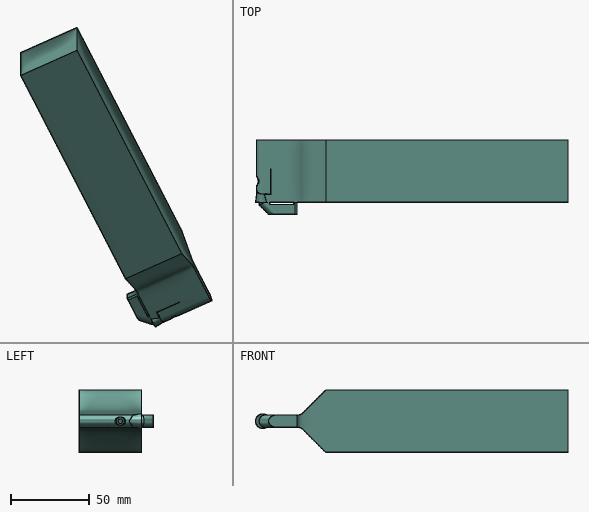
import cadquery as cq
import math


LENGTH = 200.0
SHANK_DEPTH = 40.0
SHANK_HEIGHT = 40.0
SHOULDER_END_X = 45.0
BLADE_THICKNESS = 8.0
BLADE_NOSE_X = 0.5
ROOT_FILLET = 4.0
SHOULDER_ANGLE = 45.0

INSERT_DIAMETER = 9.5
INSERT_RELIEF = 7.0
SEAT_SIDE_Y = 5.5
SEAT_APEX_Y = 8.0

SLIT_WIDTH = 0.2
SLIT_X = 9.8
SLIT_END_Y = 21.5

FINGER_REACH = 7.5
FINGER_NOSE_X = 2.5
FINGER_BEVEL_Y = -1.5
FINGER_END_X = 26.5
FINGER_END_CHAMFER_X = 1.2
FINGER_END_CHAMFER_Z = 0.5
FINGER_SLOT_START_X = 9.2
FINGER_SLOT_END_X = 24.5
FINGER_SLOT_WIDTH = 1.2

SCREW_Y = 13.5
SCREW_DIAMETER = 5.2
SCREW_HEAD_DEPTH = 1.5
COUNTERSINK_DIAMETER = 6.5
COUNTERSINK_HALF_ANGLE = 30.0
SOCKET_WIDTH = 2.8
SOCKET_DEPTH = 2.0

INSERT_RADIUS = INSERT_DIAMETER / 2
HALF_BLADE = BLADE_THICKNESS / 2
HALF_SHANK = SHANK_HEIGHT / 2
MARGIN = 2.0


def full_round_bar(nose, direction, length):
    """Flat bar as thick as the blade, run along `direction` from `nose`, its left side fully rounded."""
    plane = cq.Plane(origin=(nose[0], nose[1], 0), xDir=(-direction[1], direction[0], 0), normal=direction)
    return (
        cq.Workplane(plane)
        .moveTo(LENGTH, -HALF_BLADE)
        .lineTo(HALF_BLADE, -HALF_BLADE)
        .threePointArc((0, 0), (HALF_BLADE, HALF_BLADE))
        .lineTo(LENGTH, HALF_BLADE)
        .close()
        .extrude(length / 2, both=True)
    )


def box_between(low, high):
    """Box spanning two opposite corners."""
    size = [b - a for a, b in zip(low, high)]
    return cq.Workplane("XY").box(*size, centered=False).translate(low)


def make_shank():
    """Square shank with sloped shoulders that run down to the thin, round-nosed blade."""
    slope_run = (HALF_SHANK - HALF_BLADE) / math.tan(math.radians(SHOULDER_ANGLE))
    root_x = SHOULDER_END_X - slope_run
    nose_centre_x = BLADE_NOSE_X + HALF_BLADE
    shank = (
        cq.Workplane("XZ")
        .moveTo(nose_centre_x, HALF_BLADE)
        .lineTo(root_x, HALF_BLADE)
        .lineTo(SHOULDER_END_X, HALF_SHANK)
        .lineTo(LENGTH, HALF_SHANK)
        .lineTo(LENGTH, -HALF_SHANK)
        .lineTo(SHOULDER_END_X, -HALF_SHANK)
        .lineTo(root_x, -HALF_BLADE)
        .lineTo(nose_centre_x, -HALF_BLADE)
        .threePointArc((BLADE_NOSE_X, 0), (nose_centre_x, HALF_BLADE))
        .close()
        .extrude(-SHANK_DEPTH)
    )
    root_edges = cq.selectors.BoxSelector(
        (root_x - MARGIN, -MARGIN, -HALF_BLADE - MARGIN),
        (root_x + MARGIN, SHANK_DEPTH + MARGIN, HALF_BLADE + MARGIN),
    )
    return shank.edges("|Y").edges(root_edges).fillet(ROOT_FILLET)


def make_finger():
    """Finger in front of the blade: round-nosed, bevelled at 45 degrees, with a slot behind it."""
    upright = full_round_bar((FINGER_NOSE_X, 0), (0, -1, 0), LENGTH)
    bevelled = full_round_bar((FINGER_NOSE_X, FINGER_BEVEL_Y), (1, -1, 0), LENGTH)
    envelope = box_between((0, -FINGER_REACH, -HALF_BLADE), (FINGER_END_X, 0, HALF_BLADE))
    end_corners = envelope.faces(">Z or <Z").edges(">X")
    envelope = end_corners.chamfer(FINGER_END_CHAMFER_Z, FINGER_END_CHAMFER_X)
    slot = box_between(
        (FINGER_SLOT_START_X, -FINGER_SLOT_WIDTH, -HALF_BLADE), (FINGER_SLOT_END_X, 0, HALF_BLADE)
    )
    return envelope.intersect(upright).intersect(bevelled).cut(slot)


def seat_prism(start_x, end_x, setback=0.0):
    """Prism along X, from the front face of the blade back to the V of the insert seat."""
    side_slope = (SEAT_APEX_Y - SEAT_SIDE_Y) / HALF_BLADE
    half_height = INSERT_RADIUS + MARGIN
    side_y = SEAT_APEX_Y - side_slope * half_height - setback
    return (
        cq.Workplane("YZ")
        .polyline(
            [
                (0, -half_height),
                (side_y, -half_height),
                (SEAT_APEX_Y - setback, 0),
                (side_y, half_height),
                (0, half_height),
            ]
        )
        .close()
        .extrude(end_x - start_x)
        .translate((start_x, 0, 0))
    )


def make_insert():
    """Round cutting insert: narrows behind its cutting edge and ends in a V that sits in the seat."""
    back_radius = INSERT_RADIUS - SEAT_APEX_Y * math.tan(math.radians(INSERT_RELIEF))
    edge_centre = cq.Vector(INSERT_RADIUS, 0, 0)
    cone = cq.Solid.makeCone(INSERT_RADIUS, back_radius, SEAT_APEX_Y, edge_centre, cq.Vector(0, 1, 0))
    return cq.Workplane(cone).intersect(seat_prism(0, INSERT_DIAMETER))


def make_slit():
    """L-shaped slit: a V-shaped branch from the seat, then a straight one along the blade."""
    branch_end_x = SLIT_X + SLIT_WIDTH / 2
    branch = seat_prism(INSERT_RADIUS, branch_end_x)
    branch = branch.cut(seat_prism(INSERT_RADIUS, branch_end_x, setback=SLIT_WIDTH))
    straight = box_between(
        (SLIT_X - SLIT_WIDTH / 2, 0, -HALF_BLADE), (branch_end_x, SLIT_END_Y, HALF_BLADE)
    )
    front = seat_prism(0, branch_end_x, setback=SLIT_WIDTH)
    return branch.union(straight.cut(front))


def make_screw_recess():
    """Countersunk bore in the blade nose down to the screw head, and the hexagon socket in the head."""
    taper = math.tan(math.radians(COUNTERSINK_HALF_ANGLE))
    bore_radius = SCREW_DIAMETER / 2
    mouth_radius = COUNTERSINK_DIAMETER / 2
    cone_end_x = BLADE_NOSE_X + (mouth_radius - bore_radius) / taper
    head_x = BLADE_NOSE_X + SCREW_HEAD_DEPTH
    bore = (
        cq.Workplane("XY")
        .polyline(
            [
                (0, 0),
                (0, mouth_radius + BLADE_NOSE_X * taper),
                (cone_end_x, bore_radius),
                (head_x, bore_radius),
                (head_x, 0),
            ]
        )
        .close()
        .revolve(360, (0, 0, 0), (1, 0, 0))
        .translate((0, SCREW_Y, 0))
    )
    socket_corner_diameter = SOCKET_WIDTH / math.cos(math.radians(30))
    socket = (
        cq.Workplane("YZ")
        .polygon(6, socket_corner_diameter)
        .extrude(SOCKET_DEPTH)
        .translate((head_x, SCREW_Y, 0))
    )
    return bore.union(socket)


def make_holder(insert):
    """Shank and blade with the insert seat, slit and screw recess cut in, joined to the clamp finger."""
    nose_opening = seat_prism(0, INSERT_RADIUS)
    blade = make_shank().cut(nose_opening).cut(insert).cut(make_slit()).cut(make_screw_recess())
    return blade.union(make_finger())


insert = make_insert()
holder = make_holder(insert)

result = cq.Compound.makeCompound([holder.solids().val(), insert.solids().val()])